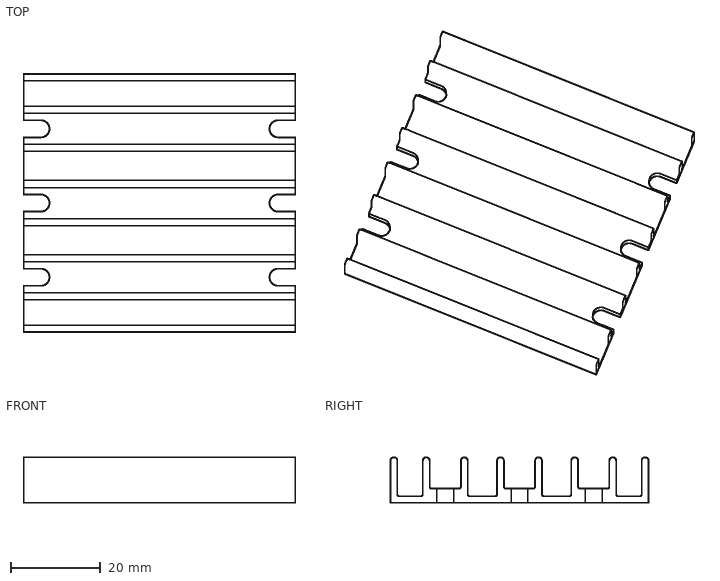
import cadquery as cq

length = 60.45
width = 57.4
height = 10.15

fin_thickness = 1.6
tip_radius = fin_thickness / 2
root_radius = 0.35

floor_thickness = 1.5
strip_thickness = 3.2
strip_pitch = 16.5
strip_fin_spacing = 8.45
strip_centers = [-strip_pitch, 0, strip_pitch]

slot_width = 3.75
slot_depth = 5.75

edge_fin_center = (width - fin_thickness) / 2
fin_centers = [-edge_fin_center]
for strip_center in strip_centers:
    fin_centers.append(strip_center - strip_fin_spacing / 2)
    fin_centers.append(strip_center + strip_fin_spacing / 2)
fin_centers.append(edge_fin_center)


def make_profile():
    """Closed outline of the extrusion in the YZ plane."""
    outline = cq.Workplane("YZ").moveTo(-width / 2, 0)
    shoulder = height - tip_radius
    last_fin = len(fin_centers) - 1
    for index, center in enumerate(fin_centers):
        left = center - tip_radius
        right = center + tip_radius
        outline = outline.lineTo(left, shoulder)
        outline = outline.threePointArc((center, height), (right, shoulder))
        if index == last_fin:
            break

        channel_floor = floor_thickness if index % 2 == 0 else strip_thickness
        next_left = fin_centers[index + 1] - tip_radius
        outline = (
            outline.lineTo(right, channel_floor + root_radius)
            .tangentArcPoint((root_radius, -root_radius))
            .lineTo(next_left - root_radius, channel_floor)
            .tangentArcPoint((root_radius, root_radius))
        )
    return outline.lineTo(width / 2, 0).close()


def make_slots():
    """Round-ended cutters centred on the two end faces of the base."""
    slot_places = []
    for strip_center in strip_centers:
        slot_places.append((-length / 2, strip_center))
        slot_places.append((length / 2, strip_center))
    return (
        cq.Workplane("XY")
        .pushPoints(slot_places)
        .slot2D(2 * slot_depth, slot_width)
        .extrude(strip_thickness)
    )


heat_sink = make_profile().extrude(length / 2, both=True)
result = heat_sink.cut(make_slots())